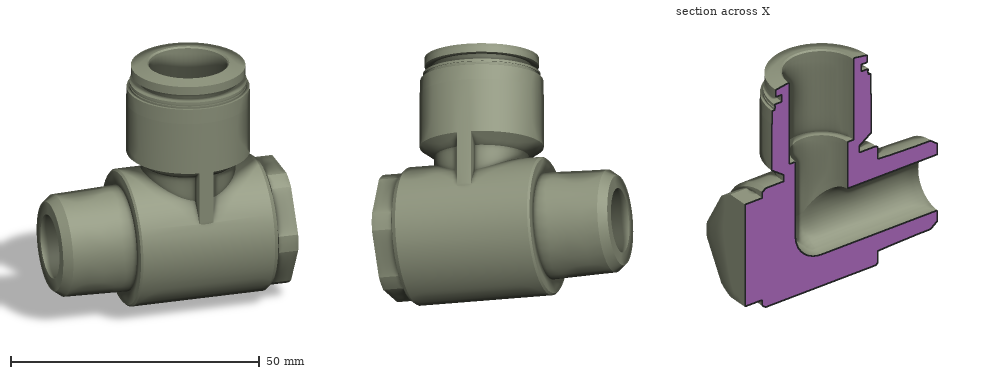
import cadquery as cq
import math

body_radius = 28.0 / 2
body_front_y = -14.1
body_back_y = 14.9
back_chamfer_length = 0.85
back_chamfer_depth = 0.65
front_chamfer = 0.4

thread_root_radius = 10.85
thread_tip_y = -29.1
tip_chamfer_length = 1.7
tip_radius = 9.1
taper_per_length = 1 / 32

nut_end_y = 19.25
nut_across_flats = 24.0
nut_corner_radius = 12.95
nut_seat_radius = 12.45
nut_seat_length = 0.25

overall_height = 50.6
top_z = overall_height - body_radius
neck_radius = 9.55
neck_top_z = 15.45
barrel_radius = 12.5
barrel_bottom_z = 17.5
cap_bottom_z = 28.4
cap_top_z = 31.45
cap_top_radius = 12.4
ring_radius = 11.85
ring_top_z = 32.8
ring_groove_radius = 11.65
ring_groove_bottom_z = 31.95
ring_groove_top_z = 32.35

collar_neck_radius = 10.0
collar_radius = 11.55
collar_bottom_z = 34.3
collar_edge_z = 36.1

rib_width = 2.95

bore_radius = 13.0 / 2
socket_radius = 16.0 / 2
mouth_chamfer = 0.3


def revolve_about_y(profile):
    """Revolve (radius, y) points about the swivel axis."""
    return cq.Workplane("XY").polyline(profile).close().revolve(360, (0, 0), (0, 1))


def revolve_about_z(profile):
    """Revolve (radius, z) points about the socket axis."""
    return cq.Workplane("XZ").polyline(profile).close().revolve(360, (0, 0), (0, 1))


def make_swivel_body():
    chamfer_start_y = thread_tip_y + tip_chamfer_length
    thread_end_radius = thread_root_radius - taper_per_length * (body_front_y - chamfer_start_y)
    return revolve_about_y([
        (0, thread_tip_y),
        (tip_radius, thread_tip_y),
        (thread_end_radius, chamfer_start_y),
        (thread_root_radius, body_front_y),
        (body_radius - front_chamfer, body_front_y),
        (body_radius, body_front_y + front_chamfer),
        (body_radius, body_back_y - back_chamfer_length),
        (body_radius - back_chamfer_depth, body_back_y),
        (0, body_back_y),
    ])


def make_nut():
    seat_end_y = body_back_y + nut_seat_length
    hexagon_diameter = nut_across_flats / math.cos(math.pi / 6)
    hexagon = (
        cq.Workplane("XZ", origin=(0, nut_end_y, 0))
        .polygon(6, hexagon_diameter)
        .extrude(nut_end_y - body_back_y)
    )
    envelope = revolve_about_y([
        (0, body_back_y),
        (nut_seat_radius, body_back_y),
        (nut_seat_radius, seat_end_y),
        (nut_corner_radius, seat_end_y),
        (nut_corner_radius, nut_end_y),
        (0, nut_end_y),
    ])
    return hexagon.intersect(envelope)


def make_socket():
    return revolve_about_z([
        (0, 0),
        (neck_radius, 0),
        (neck_radius, neck_top_z),
        (barrel_radius, barrel_bottom_z),
        (barrel_radius, cap_bottom_z),
        (cap_top_radius, cap_top_z),
        (ring_radius, cap_top_z),
        (ring_radius, ring_groove_bottom_z),
        (ring_groove_radius, ring_groove_bottom_z),
        (ring_groove_radius, ring_groove_top_z),
        (ring_radius, ring_groove_top_z),
        (ring_radius, ring_top_z),
        (collar_neck_radius, ring_top_z),
        (collar_neck_radius, collar_bottom_z),
        (collar_radius, collar_bottom_z),
        (collar_radius, collar_edge_z),
        (socket_radius + mouth_chamfer, top_z),
        (0, top_z),
    ])


def make_ribs():
    """One plate through the neck, its rounded ends flush with the barrel."""
    plate = cq.Workplane("XY").box(
        2 * barrel_radius, rib_width, barrel_bottom_z, centered=(True, True, False)
    )
    barrel_envelope = cq.Workplane("XY").circle(barrel_radius).extrude(barrel_bottom_z)
    return plate.intersect(barrel_envelope)


def make_passages():
    """Two bores meeting in a spherical elbow, with a wider tube seat above."""
    thread_bore = cq.Workplane("XZ").circle(bore_radius).extrude(-thread_tip_y)
    elbow = cq.Workplane("XY").sphere(bore_radius)
    riser = cq.Workplane("XY").circle(bore_radius).extrude(barrel_bottom_z)
    tube_seat = revolve_about_z([
        (0, barrel_bottom_z),
        (socket_radius, barrel_bottom_z),
        (socket_radius, top_z - mouth_chamfer),
        (socket_radius + mouth_chamfer, top_z),
        (0, top_z),
    ])
    return thread_bore.union(elbow).union(riser).union(tube_seat)


outside = make_swivel_body().union(make_nut()).union(make_socket()).union(make_ribs())
result = outside.cut(make_passages())